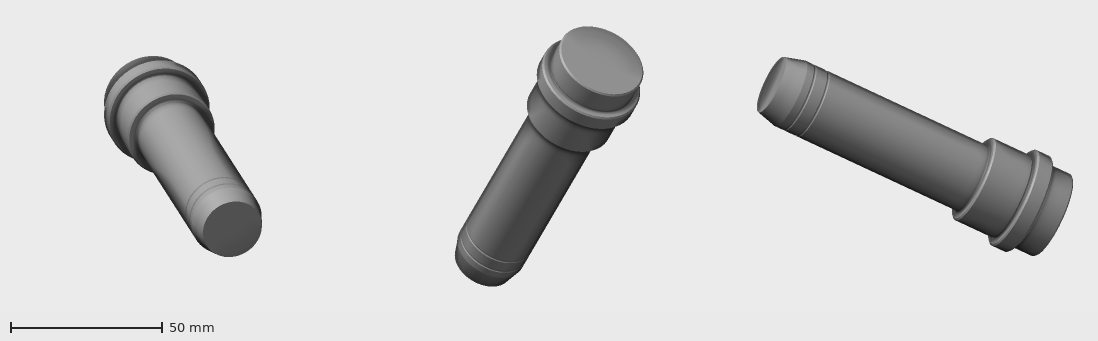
import cadquery as cq

total_length = 106.0
head_diameter = 30.0
head_length = 30.0
flange_diameter = 35.0
flange_start = 9.0
flange_width = 5.9
shaft_diameter = 24.0
edge_chamfer = 0.5
shaft_root_fillet = 0.6

undercut_width = 1.0
undercut_depth = 0.4

groove_starts = (90.5, 95.5)
groove_width = 1.0
groove_depth = 0.3

taper_length = 7.0
tip_diameter = 20.2

flange_end = flange_start + flange_width


def cylinder(start, length, diameter):
    """Solid cylinder on the X axis."""
    return cq.Workplane("YZ", origin=(start, 0, 0)).circle(diameter / 2).extrude(length)


def round_groove(start, width, depth, surface_diameter):
    """Ring cutter leaving an arc-bottomed groove in a cylindrical surface."""
    radius = surface_diameter / 2
    return (
        cq.Workplane("XY")
        .moveTo(start, radius)
        .threePointArc((start + width / 2, radius - depth), (start + width, radius))
        .lineTo(start + width, radius + depth)
        .lineTo(start, radius + depth)
        .close()
        .revolve(360, (0, 0, 0), (1, 0, 0))
    )


head = cylinder(0, head_length, head_diameter).edges().chamfer(edge_chamfer)
for undercut_start in (flange_start - undercut_width, flange_end):
    head = head.cut(round_groove(undercut_start, undercut_width, undercut_depth, head_diameter))
flange = cylinder(flange_start, flange_width, flange_diameter).edges().chamfer(edge_chamfer)

shaft_radius = shaft_diameter / 2
shaft = (
    cq.Workplane("XY")
    .moveTo(flange_end, 0)
    .lineTo(flange_end, shaft_radius)
    .lineTo(head_length, shaft_radius)
    .lineTo(head_length, shaft_radius + shaft_root_fillet)
    .radiusArc((head_length + shaft_root_fillet, shaft_radius), -shaft_root_fillet)
    .lineTo(total_length - taper_length, shaft_radius)
    .lineTo(total_length, tip_diameter / 2)
    .lineTo(total_length, 0)
    .close()
    .revolve(360, (0, 0, 0), (1, 0, 0))
)
for groove_start in groove_starts:
    shaft = shaft.cut(round_groove(groove_start, groove_width, groove_depth, shaft_diameter))

result = head.union(flange).union(shaft)